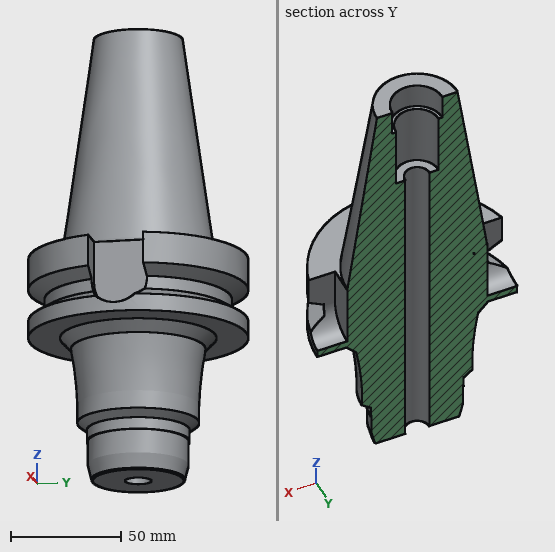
import cadquery as cq

TOTAL_LENGTH = 206.8

TAPER_TOP_RADIUS = 20.3
TAPER_BASE_RADIUS = 35.0
TAPER_BASE_Z = 105.0

FLANGE_RADIUS = 50.0
FLANGE_TOP_Z = 103.8
FLANGE_BOTTOM_Z = 67.0
GROOVE_RADIUS = 42.5
GROOVE_CENTER_Z = 82.0
GROOVE_FLOOR_WIDTH = 6.0
GROOVE_MOUTH_WIDTH = 14.7

NECK_CONE_TOP_RADIUS = 35.5
NECK_TOP_RADIUS = 30.6
NECK_TOP_Z = 61.8
COLLAR_RADIUS = 27.7
COLLAR_TOP_Z = 35.2
COLLAR_BOTTOM_Z = 27.0
NECK_BULGE_RADIUS = 28.5
NECK_BULGE_Z = 47.5

NOSE_RING_RADIUS = 23.4
NOSE_RING_TOP_Z = 23.8
NOSE_RING_BOTTOM_Z = 18.5
NOSE_RADIUS = 23.0
NOSE_TAPER_Z = 7.2
NOSE_TIP_RADIUS = 21.3
NOSE_EDGE_CHAMFER = 0.6

SLOT_WIDTH = 25.6
SLOT_FLOOR_X = 35.2
SLOT_BOTTOM_Z = 71.1

ENTRY_BORE_RADIUS = 12.5
ENTRY_BORE_DEPTH = 13.0
THREAD_BORE_RADIUS = 10.5
THREAD_BORE_DEPTH = 45.5
THROUGH_BORE_RADIUS = 6.0


def make_body():
    """Revolve the outer half profile, from the nose up to the shank."""
    groove_half_floor = GROOVE_FLOOR_WIDTH / 2
    groove_half_mouth = GROOVE_MOUTH_WIDTH / 2
    return (
        cq.Workplane("XZ")
        .moveTo(0, 0)
        .lineTo(NOSE_TIP_RADIUS - NOSE_EDGE_CHAMFER, 0)
        .lineTo(NOSE_TIP_RADIUS, NOSE_EDGE_CHAMFER)
        .lineTo(NOSE_RADIUS, NOSE_TAPER_Z)
        .lineTo(NOSE_RADIUS, NOSE_RING_BOTTOM_Z)
        .lineTo(NOSE_RING_RADIUS, NOSE_RING_BOTTOM_Z)
        .lineTo(NOSE_RING_RADIUS, NOSE_RING_TOP_Z)
        .lineTo(COLLAR_RADIUS, COLLAR_BOTTOM_Z)
        .lineTo(COLLAR_RADIUS, COLLAR_TOP_Z)
        .threePointArc((NECK_BULGE_RADIUS, NECK_BULGE_Z), (NECK_TOP_RADIUS, NECK_TOP_Z))
        .lineTo(NECK_CONE_TOP_RADIUS, FLANGE_BOTTOM_Z)
        .lineTo(FLANGE_RADIUS, FLANGE_BOTTOM_Z)
        .lineTo(FLANGE_RADIUS, GROOVE_CENTER_Z - groove_half_mouth)
        .lineTo(GROOVE_RADIUS, GROOVE_CENTER_Z - groove_half_floor)
        .lineTo(GROOVE_RADIUS, GROOVE_CENTER_Z + groove_half_floor)
        .lineTo(FLANGE_RADIUS, GROOVE_CENTER_Z + groove_half_mouth)
        .lineTo(FLANGE_RADIUS, FLANGE_TOP_Z)
        .lineTo(TAPER_BASE_RADIUS, FLANGE_TOP_Z)
        .lineTo(TAPER_BASE_RADIUS, TAPER_BASE_Z)
        .lineTo(TAPER_TOP_RADIUS, TOTAL_LENGTH)
        .lineTo(0, TOTAL_LENGTH)
        .close()
        .revolve(360, (0, 0, 0), (0, 1, 0))
    )


def make_drive_slot():
    """Round-bottomed slot on the +X side, open at the rim and the flange top."""
    half_width = SLOT_WIDTH / 2
    arc_center_z = SLOT_BOTTOM_Z + half_width
    return (
        cq.Workplane("YZ", origin=(SLOT_FLOOR_X, 0, 0))
        .moveTo(-half_width, FLANGE_TOP_Z)
        .lineTo(-half_width, arc_center_z)
        .threePointArc((0, SLOT_BOTTOM_Z), (half_width, arc_center_z))
        .lineTo(half_width, FLANGE_TOP_Z)
        .close()
        .extrude(FLANGE_RADIUS - SLOT_FLOOR_X)
    )


def make_bore(radius, depth):
    """Cylinder of the given depth measured down from the shank's top face."""
    return cq.Workplane("XY").workplane(offset=TOTAL_LENGTH - depth).circle(radius).extrude(depth)


result = make_body()

for angle in (0, 180):
    result = result.cut(make_drive_slot().rotate((0, 0, 0), (0, 0, 1), angle))

for bore_radius, bore_depth in (
    (ENTRY_BORE_RADIUS, ENTRY_BORE_DEPTH),
    (THREAD_BORE_RADIUS, THREAD_BORE_DEPTH),
    (THROUGH_BORE_RADIUS, TOTAL_LENGTH),
):
    result = result.cut(make_bore(bore_radius, bore_depth))